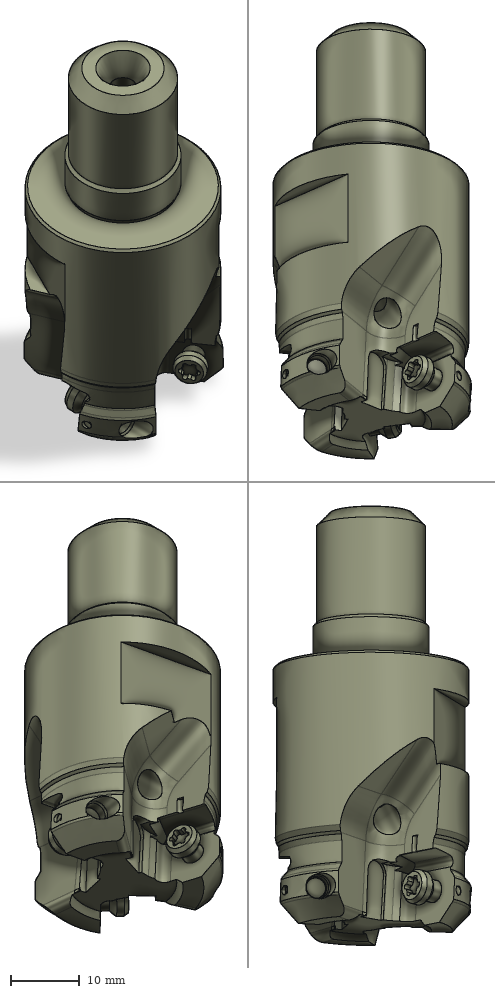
import cadquery as cq
import math

TOTAL_LENGTH = 61.9
FLUTE_COUNT = 3
PITCH_ANGLE = 360.0 / FLUTE_COUNT
RAKE_ANGLE = 4.4
FAR = 37.1
CLEARANCE = 1.85

SHANK_RADIUS = 8.0
SHANK_CHAMFER = 2.0
COLLAR_RADIUS = 8.5
COLLAR_TOP = 45.5
COLLAR_BOTTOM = 39.7
COLLAR_CHAMFER = 0.5
UNDERCUT_RADIUS = 8.15

FLANGE_RADIUS = 14.3
FLANGE_TOP = 39.0
FLANGE_EDGE = 0.4
FLANGE_BOTTOM = 13.2
LIP_RADIUS = 14.1
LIP_BOTTOM = 12.3
NECK_RADIUS = 13.7
NECK_TOP = 10.95
NECK_BOTTOM = 7.75
NECK_FLARE = 0.1
NECK_FLARE_TOP = 11.9
TOOTH_RADIUS = 14.65
TOOTH_EASE = 0.4
TOOTH_TOP = 6.3
TOOTH_BOTTOM = 3.1
NOSE_RADIUS = 11.9

RECESS_RADIUS = 8.85
RECESS_DEPTH = 0.9

FLAT_HALF_WIDTH = 7.75
FLAT_DISTANCE = math.sqrt(FLANGE_RADIUS ** 2 - FLAT_HALF_WIDTH ** 2)
FLAT_BOTTOM = 22.9
FLAT_TOP = 33.85

BORE_RADIUS = 1.9
BORE_MOUTH_RADIUS = 3.95
BORE_MOUTH_DEPTH = 3.5
BORE_BOTTOM = 18.55
COOLANT_START = 21.15
COOLANT_RADIUS = 2.0
COOLANT_END = cq.Vector(-7.8, 2.8, 13.0)

FLOOR_ANGLE = 19.0
FLOOR_DISTANCE = 2.35
FLOOR_TOP = 12.05
RUNOUT_RADIUS = 9.7
RUNOUT_ANGLE = 43.5
FLOOR_EDGE_ROUND = 1.4
CORNER_RADIUS = 3.5
WALL_ANGLE = 5.2
WALL_Y = 0.25

SLOT_RADIUS = 2.0
SLOT_FLOOR_X = -3.2
SLOT_Y = 2.5
SLOT_Z = 7.7

SCREW_X = -9.95
SCREW_Z = 4.8
SEAT_Y = -3.3
SEAT_TOP = 4.1
SEAT_EDGE = -3.65
SEAT_CHANNEL = (-5.0, 0.5), (-5.3, 1.6)
SEAT_SHOULDER = (-5.9, 2.6)
SEAT_RIM = (-6.25, 3.85)
SEAT_HEIGHT = 4.95
RELIEF_RADIUS = 0.85
RELIEF_INNER_X = -4.8
RELIEF_Y = -1.75
RELIEF_Z = 9.2
RELIEF_LENGTH = 3.35
RELIEF_SLOPE = 10.0
NICK_RADIUS = 0.5
NICK_X = -9.65
NICK_TOP = 12.75


MOUTH_RADIUS = 1.85
MOUTH_STEP_POSITION = -5.25
MOUTH_STEP_LENGTH = 0.4

DIMPLE_RADIUS = 0.7
DIMPLE_Y = -4.45
DIMPLE_Z = 4.6
DIMPLE_DEPTH = 0.3

SCREW_RADIUS = 1.7
SCREW_TIP = -4.0
SCREW_TIP_CHAMFER = 0.2
HEAD_RADIUS = 2.55
HEAD_CONE_BOTTOM = 1.6
HEAD_BOTTOM = 2.6
HEAD_SHOULDER = 3.7
HEAD_TOP = 4.4
HEAD_FACE_RADIUS = 2.1
SOCKET_RADIUS = 1.25
LOBE_RADIUS = 0.4
LOBE_COUNT = 6
SOCKET_DEPTH = 1.1


def copies_around_axis(shape):
    return [shape.rotate((0, 0, 0), (0, 0, 1), i * PITCH_ANGLE) for i in range(FLUTE_COUNT)]


def turned(profile):
    """Solid of revolution about Z from (radius, height) points."""
    return cq.Workplane("XZ").polyline(profile).close().revolve(360, (0, 0), (0, 1))


rake = math.radians(RAKE_ANGLE)
seat_plane = cq.Plane(
    origin=(SCREW_X, SEAT_Y, SCREW_Z),
    xDir=(-1, 0, 0),
    normal=(0, math.cos(rake), math.sin(rake)),
)


def place_on_seat(body):
    return cq.Workplane(body.val().moved(seat_plane.location))


def turned_blank():
    recess_top_radius = RECESS_RADIUS - RECESS_DEPTH
    mouth_bottom = TOTAL_LENGTH - BORE_MOUTH_DEPTH
    profile = [
        (0, BORE_BOTTOM),
        (BORE_RADIUS, BORE_BOTTOM),
        (BORE_RADIUS, mouth_bottom),
        (BORE_MOUTH_RADIUS, TOTAL_LENGTH),
        (SHANK_RADIUS - SHANK_CHAMFER, TOTAL_LENGTH),
        (SHANK_RADIUS, TOTAL_LENGTH - SHANK_CHAMFER),
        (SHANK_RADIUS, COLLAR_TOP),
        (COLLAR_RADIUS, COLLAR_TOP - COLLAR_CHAMFER),
        (COLLAR_RADIUS, COLLAR_BOTTOM),
        (UNDERCUT_RADIUS, COLLAR_BOTTOM - (COLLAR_RADIUS - UNDERCUT_RADIUS)),
        (UNDERCUT_RADIUS, FLANGE_TOP),
        (FLANGE_RADIUS - FLANGE_EDGE, FLANGE_TOP),
        (FLANGE_RADIUS, FLANGE_TOP - FLANGE_EDGE),
        (FLANGE_RADIUS, FLANGE_BOTTOM),
        (LIP_RADIUS, LIP_BOTTOM),
        (NECK_RADIUS + NECK_FLARE, NECK_FLARE_TOP),
        (NECK_RADIUS, NECK_TOP),
        (NECK_RADIUS, NECK_BOTTOM),
        (NECK_RADIUS + NECK_FLARE, NECK_BOTTOM - 2 * NECK_FLARE),
        (TOOTH_RADIUS - TOOTH_EASE / 2, TOOTH_TOP + TOOTH_EASE),
        (TOOTH_RADIUS, TOOTH_TOP),
        (TOOTH_RADIUS, TOOTH_BOTTOM),
        (TOOTH_RADIUS - TOOTH_EASE / 2, TOOTH_BOTTOM - TOOTH_EASE),
        (NOSE_RADIUS, 0),
        (RECESS_RADIUS, 0),
        (recess_top_radius, RECESS_DEPTH),
        (0, RECESS_DEPTH),
    ]
    return turned(profile)


def wrench_flats():
    slab = cq.Workplane("XY").box(FAR, FAR, FLAT_TOP - FLAT_BOTTOM, centered=(True, False, False))
    flat = slab.translate((0, FLAT_DISTANCE, FLAT_BOTTOM))
    return flat.union(flat.mirror("XZ"))


def floor_plane():
    """X points out of the flute floor, Y up, Z along the floor toward its open side."""
    turn = math.radians(FLOOR_ANGLE)
    return cq.Plane(
        origin=(0, 0, 0),
        xDir=(-math.cos(turn), -math.sin(turn), 0),
        normal=(-math.sin(turn), math.cos(turn), 0),
    )


def flute():
    def on_runout(angle):
        return (
            FLOOR_DISTANCE + RUNOUT_RADIUS * (1 - math.cos(angle)),
            FLOOR_TOP + RUNOUT_RADIUS * math.sin(angle),
        )

    outside = FLANGE_RADIUS + CLEARANCE
    below = -CLEARANCE
    end_angle = math.radians(RUNOUT_ANGLE)
    end_s, end_z = on_runout(end_angle)
    exit_z = end_z + (outside - end_s) / math.tan(end_angle)
    prism = (
        cq.Workplane(floor_plane())
        .moveTo(FLOOR_DISTANCE, below)
        .lineTo(FLOOR_DISTANCE, FLOOR_TOP)
        .threePointArc(on_runout(end_angle / 2), (end_s, end_z))
        .lineTo(outside, exit_z)
        .lineTo(outside, below)
        .close()
        .extrude(FAR / 2, both=True)
    )
    wall_side = (
        cq.Workplane("XY")
        .box(4 * FAR, 2 * FAR, 4 * FAR, centered=(True, False, True))
        .rotate((0, 0, 0), (1, 0, 0), WALL_ANGLE)
        .translate((0, WALL_Y, FLOOR_TOP))
    )
    corner = cq.selectors.BoxSelector(
        (-FLANGE_RADIUS, WALL_Y - CLEARANCE, 0), (0, WALL_Y + CLEARANCE, FLANGE_TOP)
    )
    return prism.intersect(wall_side).edges(corner).fillet(CORNER_RADIUS)


def floor_edge_round():
    radius = FLOOR_EDGE_ROUND
    center_s = FLOOR_DISTANCE - radius
    mid = radius * math.sqrt(0.5)
    start = CORNER_RADIUS + WALL_Y
    return (
        cq.Workplane(floor_plane())
        .workplane(offset=start)
        .moveTo(center_s, 0)
        .threePointArc((center_s + mid, radius - mid), (FLOOR_DISTANCE, radius))
        .lineTo(FLOOR_DISTANCE, 0)
        .close()
        .extrude(FAR)
    )


def nose_slot():
    """Slot with a round upper end, open at the cutting end of the tool."""
    center_drop = FAR / 2 - SLOT_RADIUS
    slot = (
        cq.Workplane("YZ", origin=(SLOT_FLOOR_X, SLOT_Y, SLOT_Z - center_drop))
        .slot2D(FAR, 2 * SLOT_RADIUS, 90)
        .extrude(-FAR)
    )
    return slot.rotate((0, SLOT_Y, SLOT_Z), (1, SLOT_Y, SLOT_Z), RAKE_ANGLE)


def insert_seat():
    """Pocket open outward and at the cutting end, with a hollow channel where seat meets side wall."""
    top = seat_plane.toWorldCoords((0, SEAT_TOP, 0))
    section = cq.Plane(origin=top, xDir=(-1, 0, 0), normal=seat_plane.yDir * -1)
    return (
        cq.Workplane(section)
        .moveTo(FAR, 0)
        .lineTo(SEAT_EDGE, 0)
        .threePointArc(*SEAT_CHANNEL)
        .lineTo(*SEAT_SHOULDER)
        .lineTo(*SEAT_RIM)
        .lineTo(SEAT_RIM[0], SEAT_HEIGHT)
        .lineTo(FAR, SEAT_HEIGHT)
        .close()
        .extrude(FAR)
    )


def top_relief():
    """Round-sided groove above the seat, its inner end slanted to face partly down."""
    length = RELIEF_LENGTH + 2 * RELIEF_RADIUS
    end = RELIEF_INNER_X
    groove = (
        cq.Workplane("YZ", origin=(end + RELIEF_RADIUS, RELIEF_Y, RELIEF_Z))
        .slot2D(length, 2 * RELIEF_RADIUS, RELIEF_SLOPE)
        .extrude(-FAR)
    )
    slanted_end = (
        cq.Workplane("XZ", origin=(end, FAR / 2, RELIEF_Z))
        .polyline([(-FAR, FAR), (FAR, FAR), (FAR, -FAR)])
        .close()
        .extrude(FAR)
    )
    return groove.cut(slanted_end)


def wall_nick():
    bottom = SCREW_Z + SEAT_TOP
    return cq.Workplane("XY", origin=(NICK_X, WALL_Y, bottom)).circle(NICK_RADIUS).extrude(NICK_TOP - bottom)


def dimple():
    floor_x = -math.sqrt(TOOTH_RADIUS ** 2 - DIMPLE_Y ** 2) + DIMPLE_DEPTH
    return cq.Workplane("YZ", origin=(floor_x, DIMPLE_Y, DIMPLE_Z)).circle(DIMPLE_RADIUS).extrude(-FAR)


def screw_hole():
    profile = [
        (0, 0),
        (SCREW_RADIUS, 0),
        (SCREW_RADIUS, MOUTH_STEP_POSITION),
        (MOUTH_RADIUS, MOUTH_STEP_POSITION - MOUTH_STEP_LENGTH),
        (MOUTH_RADIUS, -FAR),
        (0, -FAR),
    ]
    return place_on_seat(turned(profile))


def coolant_hole():
    start = cq.Vector(0, 0, COOLANT_START)
    run = COOLANT_END - start
    return cq.Workplane(cq.Solid.makeCylinder(COOLANT_RADIUS, run.Length, start, run))


def make_housing():
    body = turned_blank().cut(wrench_flats())
    cutters = [
        flute(),
        floor_edge_round(),
        nose_slot(),
        insert_seat(),
        top_relief(),
        wall_nick(),
        dimple(),
        screw_hole(),
        coolant_hole(),
    ]
    for cutter in cutters:
        for copy in copies_around_axis(cutter):
            body = body.cut(copy)
    return body.solids()


def make_screw():
    profile = [
        (0, SCREW_TIP),
        (SCREW_RADIUS - SCREW_TIP_CHAMFER, SCREW_TIP),
        (SCREW_RADIUS, SCREW_TIP + SCREW_TIP_CHAMFER),
        (SCREW_RADIUS, HEAD_CONE_BOTTOM),
        (HEAD_RADIUS, HEAD_BOTTOM),
        (HEAD_RADIUS, HEAD_SHOULDER),
        (HEAD_FACE_RADIUS, HEAD_TOP),
        (0, HEAD_TOP),
    ]
    socket_floor = HEAD_TOP - SOCKET_DEPTH
    socket_plane = cq.Workplane("XY", origin=(0, 0, socket_floor))
    socket = socket_plane.circle(SOCKET_RADIUS).extrude(SOCKET_DEPTH)
    lobes = (
        socket_plane.polarArray(SOCKET_RADIUS, 0, 360, LOBE_COUNT)
        .circle(LOBE_RADIUS)
        .extrude(SOCKET_DEPTH)
    )
    return place_on_seat(turned(profile).cut(socket.union(lobes)).solids())


housing = make_housing()
screws = copies_around_axis(make_screw())
result = cq.Compound.makeCompound([housing.val(), *[screw.val() for screw in screws]])